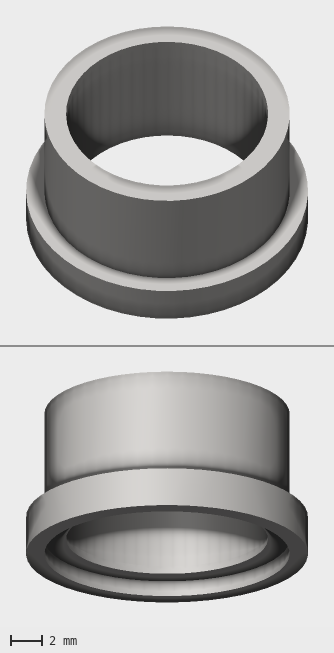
import cadquery as cq

collar_diameter = 18.0
collar_height = 2.5
total_height = 9.5
sleeve_diameter = 15.66
bore_diameter = 12.89
lower_socket_depth = 1.0
lip_thickness = 0.5

lip_top = lower_socket_depth + lip_thickness
sleeve_length = total_height - lip_top


def cylinder(diameter, height, base_z=0.0):
    """Solid cylinder on the Z axis, rising from base_z."""
    return cq.Workplane("XY").workplane(offset=base_z).circle(diameter / 2).extrude(height)


def make_collar():
    """Collar with a socket in each end and an inner lip between them."""
    body = cylinder(collar_diameter, collar_height)
    bore = cylinder(bore_diameter, collar_height)
    lower_socket = cylinder(sleeve_diameter, lower_socket_depth)
    upper_socket = cylinder(sleeve_diameter, collar_height - lip_top, lip_top)
    return body.cut(bore).cut(lower_socket).cut(upper_socket)


def make_sleeve():
    """Plain tube seated in the upper socket, its bore flush with the lip."""
    body = cylinder(sleeve_diameter, sleeve_length, lip_top)
    bore = cylinder(bore_diameter, sleeve_length, lip_top)
    return body.cut(bore)


collar = make_collar()
sleeve = make_sleeve()
result = cq.Compound.makeCompound([collar.val(), sleeve.val()])